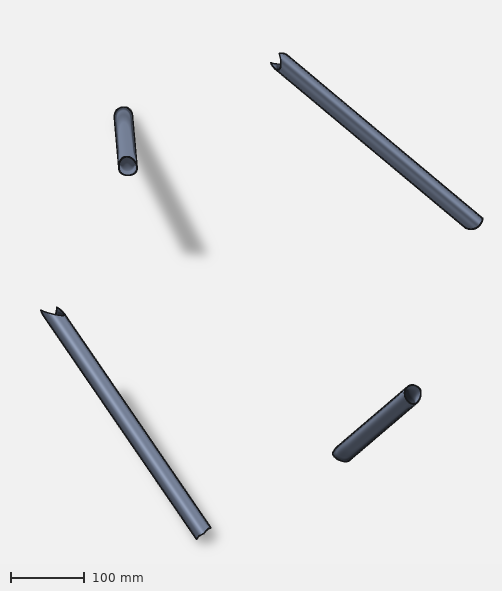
import cadquery as cq

OUTER_RADIUS = 12.73
WALL = 1.0
TUBE_CENTER = cq.Vector(0, 0, 1.7)
TUBE_DIRECTION = cq.Vector(100, -26.4, 50.7).normalized()
STOCK_LENGTH = 475.3

LOWER_TRIM_X = -169.5

COPE_LENGTH = 203.7
LOWER_COPE = (cq.Vector(-178.5, 49.0, -90.5), cq.Vector(-0.33, 0.9, 0.2), 20.5)
UPPER_TOP_COPE = (cq.Vector(166.5, -56.5, 125.3), cq.Vector(0.95, 0.3, 0.01), 44.8)
UPPER_END_COPE = (cq.Vector(222.5, -62.5, 60.5), cq.Vector(0.28, -0.24, 0.93), 66.0)


def centered_cylinder(center, direction, radius, length):
    """Solid cylinder whose mid-length point is at center."""
    axis = direction.normalized()
    start = center - axis * (length / 2)
    return cq.Workplane(cq.Solid.makeCylinder(radius, length, start, axis))


def make_tube():
    """Tube stock, longer than the finished part at both ends."""
    outer = centered_cylinder(TUBE_CENTER, TUBE_DIRECTION, OUTER_RADIUS, STOCK_LENGTH)
    bore = centered_cylinder(TUBE_CENTER, TUBE_DIRECTION, OUTER_RADIUS - WALL, STOCK_LENGTH)
    return outer.cut(bore)


def trim_lower_end(tube):
    """Remove everything beyond the flat lower trim plane."""
    block = cq.Workplane().box(STOCK_LENGTH, STOCK_LENGTH, STOCK_LENGTH)
    return tube.cut(block.translate((LOWER_TRIM_X - STOCK_LENGTH / 2, 0, 0)))


def cope(tube, center, direction, radius):
    """Cut a cylindrical saddle into the tube end."""
    return tube.cut(centered_cylinder(center, direction, radius, COPE_LENGTH))


coped = trim_lower_end(make_tube())
for saddle in (LOWER_COPE, UPPER_TOP_COPE, UPPER_END_COPE):
    coped = cope(coped, *saddle)

result = cq.Workplane(max(coped.solids().vals(), key=lambda solid: solid.Volume()))